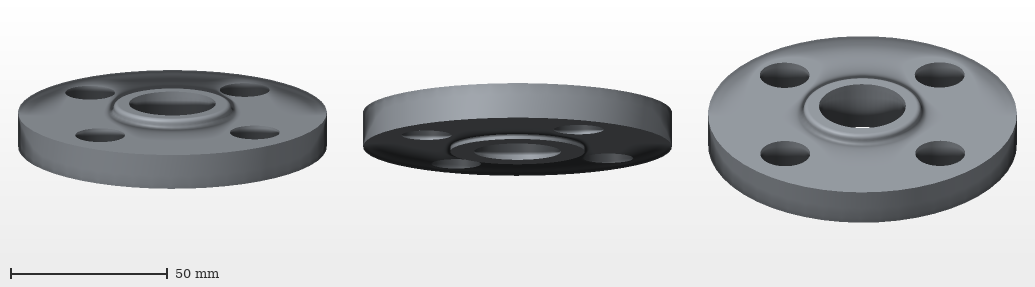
import cadquery as cq
import math

plate_diameter = 98.55
plate_thickness = 11.2

face_diameter = 42.9
face_height = 1.6

overall_height = 15.81
plate_top = face_height + plate_thickness
hub_height = overall_height - plate_top
hub_base_diameter = 38.2
hub_draft = 10.0
hub_fillet = 1.5

bore_diameter = 27.7
bolt_hole_diameter = 15.9
bolt_circle_diameter = 69.9
bolt_count = 4


def make_body():
    """Revolve the face, plate and hub about Z; Z = 0 is the sealing face."""
    hub_base_radius = hub_base_diameter / 2
    hub_top_radius = hub_base_radius - hub_height * math.tan(math.radians(hub_draft))
    profile = (
        cq.Workplane("XZ")
        .lineTo(face_diameter / 2, 0)
        .lineTo(face_diameter / 2, face_height)
        .lineTo(plate_diameter / 2, face_height)
        .lineTo(plate_diameter / 2, plate_top)
        .lineTo(hub_base_radius, plate_top)
        .lineTo(hub_top_radius, overall_height)
        .lineTo(0, overall_height)
        .close()
    )
    return profile.revolve(360, (0, 0, 0), (0, 1, 0))


def round_hub(body):
    """Fillet the hub rim and the hub root."""
    reach = hub_base_diameter / 2 + hub_fillet
    hub_zone = cq.selectors.BoxSelector(
        (-reach, -reach, plate_top - hub_fillet),
        (reach, reach, overall_height + hub_fillet),
        boundingbox=True,
    )
    return body.edges("%CIRCLE").edges(hub_zone).fillet(hub_fillet)


def cut_holes(body):
    """Cut the central bore and the ring of bolt holes through the part."""
    bore = cq.Workplane("XY").circle(bore_diameter / 2).extrude(overall_height)
    bolt_holes = (
        cq.Workplane("XY")
        .polarArray(bolt_circle_diameter / 2, 0, 360, bolt_count)
        .circle(bolt_hole_diameter / 2)
        .extrude(overall_height)
    )
    return body.cut(bore).cut(bolt_holes)


result = cut_holes(round_hub(make_body()))